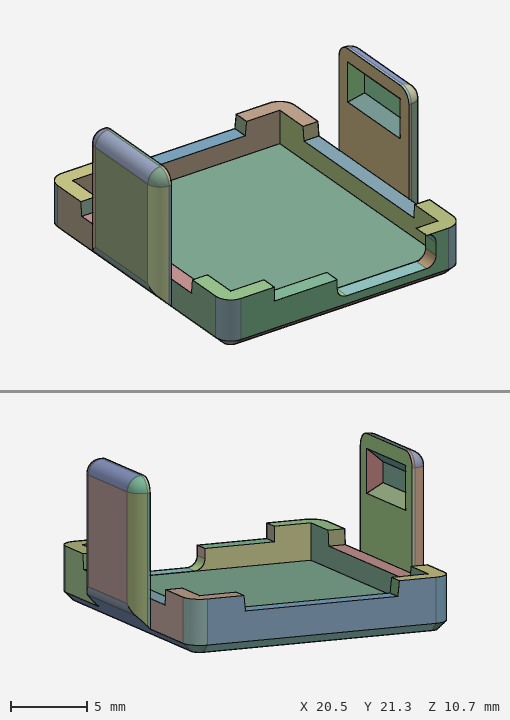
import cadquery as cq
import math

tray_length = 20.5
tray_width = 18.9
wall = 1.2
wall_top = 3.68
floor_thickness = 1.18
corner_radius = 1.2
bottom_chamfer = 0.6

clip_width = 8.0
clip_thickness = 1.2
clip_height = 7.0
clip_edge_radius = 1.0
clip_top = wall_top + clip_height

pocket_width = 6.0
pocket_height = 3.0
pocket_depth = 0.8
pocket_side_slope = 0.8
pocket_top_margin = 1.0

notch_depth = 1.04
notch_taper = 0.11
side_notch_width = 12.78
end_notch_width = 11.22

slot_y_min = -0.6
slot_y_max = 7.27
slot_height = 2.48
slot_radius = 0.75

half_length = tray_length / 2
half_width = tray_width / 2
notch_floor = wall_top - notch_depth


def make_tray():
    body = (
        cq.Workplane("XY")
        .rect(tray_length, tray_width)
        .extrude(wall_top)
        .edges("|Z")
        .fillet(corner_radius)
        .faces("<Z")
        .chamfer(bottom_chamfer)
    )
    cavity = (
        cq.Workplane("XY", origin=(0, 0, floor_thickness))
        .rect(tray_length - 2 * wall, tray_width - 2 * wall)
        .extrude(wall_top)
    )
    return body.cut(cavity)


def notch_profile(plane, width):
    """Trapezoid, open at the wall top, on a vertical plane through the origin."""
    half_top = width / 2
    half_floor = half_top - notch_taper
    corners = [
        (-half_top, wall_top),
        (-half_floor, notch_floor),
        (half_floor, notch_floor),
        (half_top, wall_top),
    ]
    return cq.Workplane(plane).polyline(corners).close()


def make_side_notches():
    """Notches through both the -Y and the +Y wall."""
    return notch_profile("XZ", side_notch_width).extrude(half_width, both=True)


def make_end_notch():
    """Notch through the -X wall."""
    return notch_profile("YZ", end_notch_width).extrude(-half_length)


def make_connector_opening():
    """Rounded slot through the +X wall, with a shallow step from it towards -Y."""
    inner_x = half_length - wall
    slot = (
        cq.Workplane("YZ", origin=(inner_x, 0, 0))
        .center((slot_y_min + slot_y_max) / 2, wall_top - slot_height / 2)
        .rect(slot_y_max - slot_y_min, slot_height)
        .extrude(wall)
        .edges("|X")
        .fillet(slot_radius)
    )
    step_y_min = -end_notch_width / 2
    step_length = slot_y_min + slot_radius - step_y_min
    step = (
        cq.Workplane("XY")
        .box(wall, step_length, notch_depth, centered=False)
        .translate((inner_x, step_y_min, notch_floor))
    )
    return slot.union(step)


def make_front_clip():
    """Clip on the -Y wall; its underside carries on the slope of the tray chamfer."""
    inner_y = -half_width
    outer_y = inner_y - clip_thickness
    slope_end_z = bottom_chamfer + clip_thickness
    blank = (
        cq.Workplane("YZ", origin=(-clip_width / 2, 0, 0))
        .polyline(
            [
                (inner_y, bottom_chamfer),
                (outer_y, slope_end_z),
                (outer_y, clip_top),
                (inner_y, clip_top),
            ]
        )
        .close()
        .extrude(clip_width)
    )
    outer_edges = blank.faces("<Y").edges()
    top_corner_edges = blank.faces(">Z").edges("|Y")
    return outer_edges.add(top_corner_edges).fillet(clip_edge_radius)


def make_clip_pocket():
    """Pocket into the -Y clip whose four sides slope inwards."""
    middle_z = clip_top - pocket_top_margin - pocket_height / 2
    taper_angle = math.degrees(math.atan2(pocket_side_slope, pocket_depth))
    return (
        cq.Workplane("XZ", origin=(0, -half_width, middle_z))
        .rect(pocket_width, pocket_height)
        .extrude(pocket_depth, taper=taper_angle)
    )


tray = make_tray().cut(make_side_notches()).cut(make_end_notch()).cut(make_connector_opening())
front_clip = make_front_clip().cut(make_clip_pocket())
back_clip = front_clip.mirror("XZ")
result = tray.union(front_clip).union(back_clip)